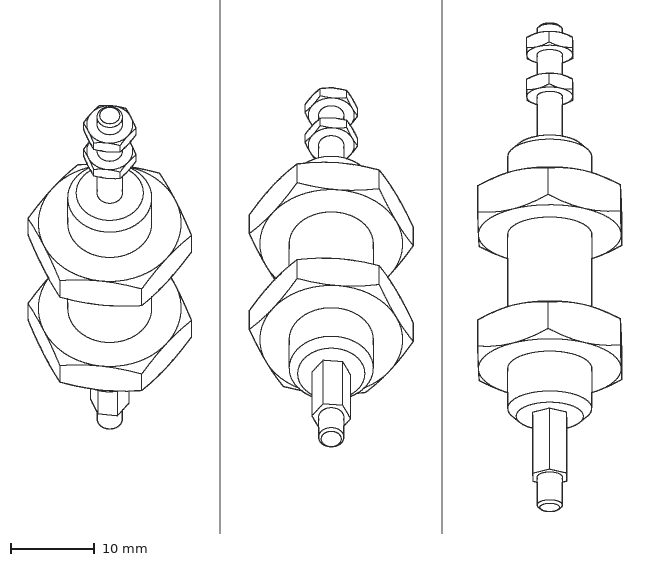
import cadquery as cq
import math


HOUSING_LENGTH = 35.0
HOUSING_DIAMETER = 10.0
HOUSING_CHAMFER = 1.0

ROD_DIAMETER = 3.0
ROD_ABOVE_HOUSING = 16.0
ROD_BELOW_HOUSING = 12.0
ROD_TIP_CHAMFER = 0.3
SHANK_LENGTH = 8.0
SHANK_ACROSS_FLATS = 4.05

MOUNTING_NUT_ACROSS_FLATS = 17.0
MOUNTING_NUT_THICKNESS = 5.0
MOUNTING_NUT_END_GAP = 6.25

ROD_NUT_ACROSS_FLATS = 5.5
ROD_NUT_THICKNESS = 1.8
ROD_NUT_TOP_GAP = 1.8
ROD_NUT_PITCH = 5.5

NUT_CHAMFER_ANGLE = 30.0

ROD_TOP = HOUSING_LENGTH + ROD_ABOVE_HOUSING
ROD_BOTTOM = -ROD_BELOW_HOUSING


def across_corners(across_flats):
    """Corner-to-corner width of a regular hexagon."""
    return across_flats / math.cos(math.radians(30))


def hex_prism(across_flats, height, base_z):
    """Hexagonal prism with two of its corners on the X axis."""
    return (
        cq.Workplane("XY")
        .workplane(offset=base_z)
        .polygon(6, across_corners(across_flats))
        .extrude(height)
    )


def make_housing():
    """Chamfered barrel with a through bore that fits the rod."""
    barrel = cq.Workplane("XY").circle(HOUSING_DIAMETER / 2).extrude(HOUSING_LENGTH)
    barrel = barrel.faces("<Z or >Z").chamfer(HOUSING_CHAMFER)
    bore = cq.Workplane("XY").circle(ROD_DIAMETER / 2).extrude(HOUSING_LENGTH)
    return barrel.cut(bore)


def make_rod():
    """Round rod with chamfered tips and a hexagonal shank against the housing."""
    rod = (
        cq.Workplane("XY")
        .workplane(offset=ROD_BOTTOM)
        .circle(ROD_DIAMETER / 2)
        .extrude(ROD_TOP - ROD_BOTTOM)
    )
    rod = rod.faces("<Z or >Z").chamfer(ROD_TIP_CHAMFER)
    shank = hex_prism(SHANK_ACROSS_FLATS, SHANK_LENGTH, -SHANK_LENGTH)
    return rod.union(shank)


def make_nut(across_flats, thickness, bore_diameter, base_z):
    """Hexagonal nut whose corners are chamfered on both faces."""
    flat_radius = across_flats / 2
    corner_radius = across_corners(across_flats) / 2
    chamfer_height = (corner_radius - flat_radius) * math.tan(math.radians(NUT_CHAMFER_ANGLE))

    blank = (
        cq.Workplane("XZ")
        .moveTo(0, base_z)
        .lineTo(flat_radius, base_z)
        .lineTo(corner_radius, base_z + chamfer_height)
        .lineTo(corner_radius, base_z + thickness - chamfer_height)
        .lineTo(flat_radius, base_z + thickness)
        .lineTo(0, base_z + thickness)
        .close()
        .revolve(360, (0, 0, 0), (0, 1, 0))
    )
    bore = cq.Workplane("XY").workplane(offset=base_z).circle(bore_diameter / 2).extrude(thickness)
    return hex_prism(across_flats, thickness, base_z).intersect(blank).cut(bore)


housing = make_housing()
rod = make_rod()

mounting_nut_bases = [
    MOUNTING_NUT_END_GAP,
    HOUSING_LENGTH - MOUNTING_NUT_END_GAP - MOUNTING_NUT_THICKNESS,
]
mounting_nuts = [
    make_nut(MOUNTING_NUT_ACROSS_FLATS, MOUNTING_NUT_THICKNESS, HOUSING_DIAMETER, base_z)
    for base_z in mounting_nut_bases
]

upper_rod_nut_base = ROD_TOP - ROD_NUT_TOP_GAP - ROD_NUT_THICKNESS
rod_nut_bases = [upper_rod_nut_base, upper_rod_nut_base - ROD_NUT_PITCH]
rod_nuts = [
    make_nut(ROD_NUT_ACROSS_FLATS, ROD_NUT_THICKNESS, ROD_DIAMETER, base_z)
    for base_z in rod_nut_bases
]

result = cq.Compound.makeCompound([
    housing.solids().val(),
    rod.solids().val(),
    *[nut.solids().val() for nut in mounting_nuts],
    *[nut.solids().val() for nut in rod_nuts],
])